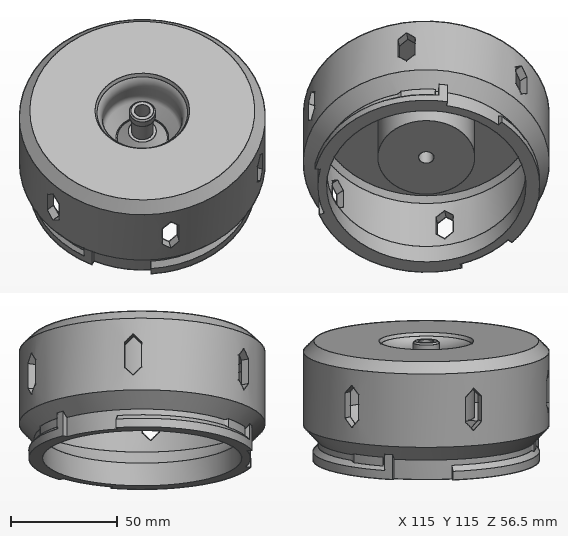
import cadquery as cq
import math

OUTER_RADIUS = 57.5
HEIGHT = 56.5
WALL = 4.0
TOP_CHAMFER = 5.0
TAPER_TOP_Z = 16.7
NECK_TOP_Z = 9.3
NECK_RADIUS = 50.6

WINDOW_COUNT = 6
FIRST_WINDOW_ANGLE = 30.0
WINDOW_WIDTH = 8.0
WINDOW_STRAIGHT = 12.0
WINDOW_CENTRE_Z = 33.9

BAYONET_COUNT = 3
LUG_RADIUS = 53.0
LUG_START = 201.0
STOP_START = 285.7
STOP_END = 290.1
LUG_EDGE_Z = 4.1
LUG_TOP_Z = LUG_EDGE_Z + LUG_RADIUS - NECK_RADIUS
STOP_TOP_Z = 12.3
BUMP_RADIUS = 51.3
BUMP_START = 266.0
BUMP_END = 284.0
BUMP_RAMP_ANGLE = 2.0
BUMP_BASE_Z = LUG_TOP_Z - (BUMP_RADIUS - NECK_RADIUS)
BUMP_TOP_Z = 10.1
ROOT_DEPTH = 1.2
ROOT_RADIUS = NECK_RADIUS - ROOT_DEPTH

BOWL_RIM_RADIUS = 22.1
BOWL_LIP_RADIUS = 21.2
BOWL_LIP_Z = 54.9
BOWL_WALL_RADIUS = 18.6
BOWL_WALL_TOP_Z = 49.6
FLOOR_EDGE_RADIUS = 17.4
FLOOR_EDGE_Z = 40.8
GROOVE_OUTER_RADIUS = 12.3
GROOVE_INNER_RADIUS = 11.7
GROOVE_Z = 35.6
HUMP_RADIUS = 6.5
HUMP_TOP_Z = GROOVE_Z + GROOVE_INNER_RADIUS - HUMP_RADIUS
CORE_RADIUS = BOWL_WALL_RADIUS + WALL
CORE_BASE_Z = 20.7

STEM_RADIUS = 5.1
COLLAR_RADIUS = 6.1
COLLAR_BASE_Z = 52.2
COLLAR_CHAMFER = 0.8
BORE_RADIUS = 3.6


def revolve_profile(profile):
    """Turn a closed XZ profile a full round about the Z axis."""
    return profile.close().revolve(360, (0, 0, 0), (0, 1, 0))


def polar(radius, angle):
    """XY point at a radius and an angle in degrees."""
    turn = math.radians(angle)
    return (radius * math.cos(turn), radius * math.sin(turn))


def make_shell():
    """Hollow turned body, open at the bottom."""
    outside = revolve_profile(
        cq.Workplane("XZ").polyline([
            (0, 0),
            (NECK_RADIUS, 0),
            (NECK_RADIUS, NECK_TOP_Z),
            (OUTER_RADIUS, TAPER_TOP_Z),
            (OUTER_RADIUS, HEIGHT - TOP_CHAMFER),
            (OUTER_RADIUS - TOP_CHAMFER, HEIGHT),
            (0, HEIGHT),
        ])
    )
    corner_shift = WALL * math.tan(math.radians(45 / 2))
    inner_radius = OUTER_RADIUS - WALL
    ceiling_z = HEIGHT - WALL
    inside = revolve_profile(
        cq.Workplane("XZ").polyline([
            (0, 0),
            (NECK_RADIUS - WALL, 0),
            (NECK_RADIUS - WALL, NECK_TOP_Z + corner_shift),
            (inner_radius, TAPER_TOP_Z + corner_shift),
            (inner_radius, HEIGHT - TOP_CHAMFER - corner_shift),
            (OUTER_RADIUS - TOP_CHAMFER - corner_shift, ceiling_z),
            (0, ceiling_z),
        ])
    )
    return outside.cut(inside)


def make_windows():
    """Ring of pointed slots that pass through the side wall."""
    half_width = WINDOW_WIDTH / 2
    half_straight = WINDOW_STRAIGHT / 2
    half_height = half_straight + half_width
    inner_radius = OUTER_RADIUS - 2 * WALL
    window = (
        cq.Workplane("YZ", origin=(inner_radius, 0, WINDOW_CENTRE_Z))
        .polyline([
            (0, -half_height),
            (half_width, -half_straight),
            (half_width, half_straight),
            (0, half_height),
            (-half_width, half_straight),
            (-half_width, -half_straight),
        ])
        .close()
        .extrude(3 * WALL)
    )
    windows = cq.Workplane("XY")
    for i in range(WINDOW_COUNT):
        angle = FIRST_WINDOW_ANGLE + i * 360 / WINDOW_COUNT
        windows = windows.add(window.rotate((0, 0, 0), (0, 0, 1), angle))
    return windows.combine()


def turned_sector(profile_points, start, end):
    """Sweep an XZ profile round the Z axis from one angle to another."""
    sector = (
        cq.Workplane("XZ")
        .polyline(profile_points)
        .close()
        .revolve(end - start, (0, 0, 0), (0, 1, 0))
    )
    return sector.rotate((0, 0, 0), (0, 0, 1), start)


def make_bump():
    """Low arc-faced block whose end away from the stop ramps down to the neck."""
    middle = (BUMP_START + BUMP_END) / 2
    return (
        cq.Workplane("XY", origin=(0, 0, BUMP_BASE_Z))
        .moveTo(*polar(ROOT_RADIUS, BUMP_START - BUMP_RAMP_ANGLE))
        .lineTo(*polar(NECK_RADIUS, BUMP_START - BUMP_RAMP_ANGLE))
        .lineTo(*polar(BUMP_RADIUS, BUMP_START))
        .threePointArc(polar(BUMP_RADIUS, middle), polar(BUMP_RADIUS, BUMP_END))
        .lineTo(*polar(ROOT_RADIUS, BUMP_END))
        .close()
        .extrude(BUMP_TOP_Z - BUMP_BASE_Z)
    )


def make_bayonet():
    """One chamfered lug with its stop post and locking bump."""
    lug = turned_sector(
        [
            (ROOT_RADIUS, 0),
            (LUG_RADIUS, 0),
            (LUG_RADIUS, LUG_EDGE_Z),
            (NECK_RADIUS, LUG_TOP_Z),
            (ROOT_RADIUS, LUG_TOP_Z),
        ],
        LUG_START,
        STOP_END,
    )
    stop = turned_sector(
        [
            (ROOT_RADIUS, 0),
            (LUG_RADIUS, 0),
            (LUG_RADIUS, STOP_TOP_Z),
            (ROOT_RADIUS, STOP_TOP_Z),
        ],
        STOP_START,
        STOP_END,
    )
    return lug.union(stop).union(make_bump())


def make_core():
    """Solid column under the top plate that holds the bowl."""
    base = cq.Workplane("XY", origin=(0, 0, CORE_BASE_Z))
    return base.circle(CORE_RADIUS).extrude(HEIGHT - CORE_BASE_Z)


def make_bowl():
    """Space of the bowl: humped floor, fillet, straight wall, rounded mouth and sloping rim."""
    floor_run = FLOOR_EDGE_RADIUS - GROOVE_OUTER_RADIUS
    floor_slope = (FLOOR_EDGE_Z - GROOVE_Z) / floor_run
    fillet_run = BOWL_WALL_RADIUS - FLOOR_EDGE_RADIUS
    fillet_top_z = FLOOR_EDGE_Z + fillet_run * (floor_slope + math.hypot(1, floor_slope))
    return revolve_profile(
        cq.Workplane("XZ")
        .moveTo(0, HUMP_TOP_Z)
        .lineTo(HUMP_RADIUS, HUMP_TOP_Z)
        .lineTo(GROOVE_INNER_RADIUS, GROOVE_Z)
        .lineTo(GROOVE_OUTER_RADIUS, GROOVE_Z)
        .lineTo(FLOOR_EDGE_RADIUS, FLOOR_EDGE_Z)
        .tangentArcPoint((BOWL_WALL_RADIUS, fillet_top_z), relative=False)
        .lineTo(BOWL_WALL_RADIUS, BOWL_WALL_TOP_Z)
        .tangentArcPoint((BOWL_LIP_RADIUS, BOWL_LIP_Z), relative=False)
        .lineTo(BOWL_RIM_RADIUS, HEIGHT)
        .lineTo(0, HEIGHT)
    )


def make_stem():
    """Solid stem with a chamfered collar at its tip."""
    return revolve_profile(
        cq.Workplane("XZ").polyline([
            (0, CORE_BASE_Z),
            (STEM_RADIUS, CORE_BASE_Z),
            (STEM_RADIUS, COLLAR_BASE_Z),
            (COLLAR_RADIUS, COLLAR_BASE_Z),
            (COLLAR_RADIUS, HEIGHT - COLLAR_CHAMFER),
            (COLLAR_RADIUS - COLLAR_CHAMFER, HEIGHT),
            (0, HEIGHT),
        ])
    )


body = make_shell().cut(make_windows())
bayonet = make_bayonet()
for i in range(BAYONET_COUNT):
    body = body.union(bayonet.rotate((0, 0, 0), (0, 0, 1), i * 360 / BAYONET_COUNT))
body = body.union(make_core()).cut(make_bowl()).union(make_stem())
bore = cq.Workplane("XY").circle(BORE_RADIUS).extrude(HEIGHT)
result = body.cut(bore)